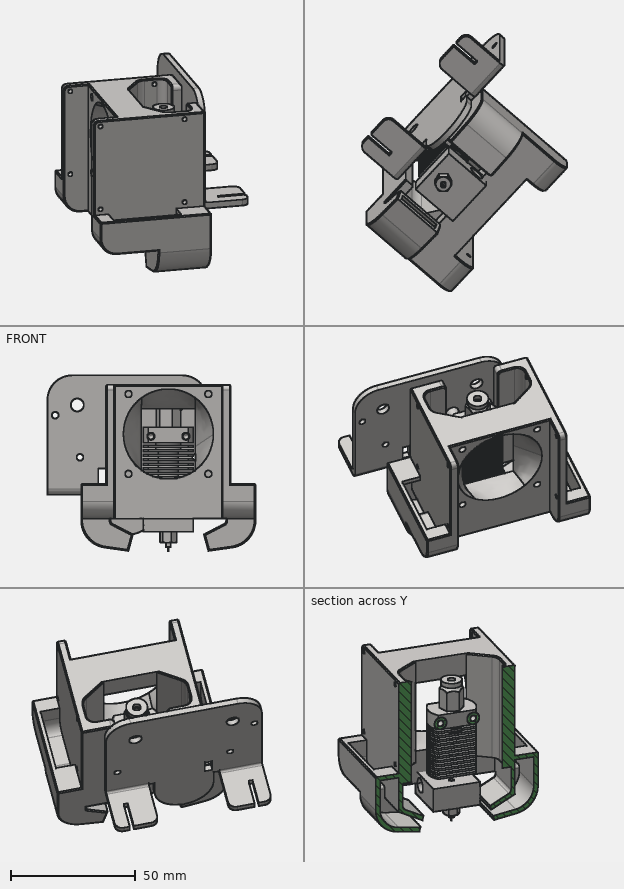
import cadquery as cq
import math


BODY_WIDTH = 50.0
BODY_HEIGHT = 53.6
SHROUD_DEPTH = 46.2
EDGE_CHAMFER = 0.5
WALL = 3.7
INNER_HALF = BODY_WIDTH / 2 - WALL
WING_WIDTH = 70.0
WING_HEIGHT = 13.95
FAN_FACE_Y = -36.0
FRONT_TOP_RADIUS = 2.0
FRONT_BOTTOM_RADIUS = 7.0

HOOK_DEPTH = 22.1
HOOK_RADIUS = 11.1
HOOK_ANGLE = math.radians(8)
HOOK_TIP_X = 16.0
HOOK_LIP = (14.2, -6.35)
HOOK_KNEE = (23.1, -1.75)
HOOK_KNEE_RADIUS = 1.7
HOOK_SKIN = 2.0
HOOK_CENTRE_X = WING_WIDTH / 2 - HOOK_RADIUS
HOOK_CENTRE_Z = -0.7

SEAT_BACK_Y = -12.0
SEAT_FRONT_Y = -40.2
SEAT_WIDTH = 7.85
SEAT_FLOOR_Z = 2.0
SEAT_FLOOR_RADIUS = FRONT_BOTTOM_RADIUS - SEAT_FLOOR_Z
DUCT_BACK_Y = -2.0
DUCT_FRONT_Y = -20.1
DUCT_TOP_Z = WING_HEIGHT - 2.0
DUCT_LEAD_IN = 1.1

CAVITY_BACK_Y = -4.2
CAVITY_FRONT_Y = -22.3
CAVITY_SIDE_END_Y = -12.9
CAVITY_BACK_RADIUS = 3.3
CAVITY_FLANK_RADIUS = 4.2
GAP_CORNER_RADIUS = 2.0
GAP_HALF = 10.85
CAVITY_STEP_Z = 9.1

FAN_CENTRE_Z = 33.9
FAN_OPENING = 36.1
FAN_SCREW_PITCH = 32.0
FAN_SCREW_HOLE = 2.75
FAN_SCREW_DEPTH = 8.0
THROAT_TOP_Z = 43.9
THROAT_BOTTOM_Z = 14.2

SIDE_HOLE = 1.75
SIDE_HOLE_YS = (-8.5, -43.4)
SIDE_HOLE_ZS = (16.3, 51.3)

HOTEND_Y = -10.5
BORE = 2.1
HEATSINK_DIAMETER = 20.0
HEATSINK_THICKNESS = 12.0
HEATSINK_TOP_Z = 36.65
HEATSINK_HEAD = 6.35
FIN_COUNT = 12
FIN_PITCH = 1.8
FIN_GAP = 0.9
CORE_UPPER = 10.0
CORE_LOWER = 8.0
UPPER_GAPS = 2
MOUNT_SPACING = 14.0
MOUNT_Z = 33.0
MOUNT_HOLE = 3.0

FITTING_CORNERS = 10.0
FITTING_TURN = -13.0
FITTING_HEIGHT = 10.0
FITTING_TOP_DIAMETER = 6.0
COLLET_DIAMETER = 8.6
COLLET_HEIGHT = 2.0
COLLET_HOLE = 3.1

BLOCK_WIDTH = 20.0
BLOCK_LENGTH = 20.0
BLOCK_HEIGHT = 10.0
BLOCK_FRONT_Y = -24.6
BLOCK_BOTTOM_Z = -5.35
HEATER_HOLE = 6.0
HEATER_Y = -19.45
HEATER_Z = 0.25

NOZZLE_FLATS = 6.0
NOZZLE_TURN = -10.0
NOZZLE_HEX_HEIGHT = 4.4
NOZZLE_TIP_DIAMETER = 2.1
NOZZLE_TIP_LENGTH = 1.7
NOZZLE_BORE_DEPTH = 3.75
NOZZLE_PIN_DIAMETER = 0.4
NOZZLE_PIN_LENGTH = 1.6

PLATE_LEFT_X = -48.5
PLATE_WIDTH = 64.05
PLATE_THICKNESS = 2.6
PLATE_TOP_Z = 57.45
PLATE_CORNER_RADIUS = 10.0
PLATE_CENTRE_X = PLATE_LEFT_X + PLATE_WIDTH / 2
TAB_BOTTOM_Z = 9.5
TAB_WIDTH = 17.45
TAB_END_Y = 21.0
TAB_CORNER_RADIUS = 3.0
TAB_SLOT_WIDTH = 1.7
TAB_SLOT_START_Y = 9.7
TAB_SLOT_XS = (-42.2, 9.1)
BEND_OUTER_RADIUS = 2.5
BEND_INNER_RADIUS = 0.9
TONGUE_RADIUS = 12.1
TONGUE_CENTRE_Z = 5.6
LARGE_HOLE = 5.1
LARGE_HOLE_SPACING = 40.0
LARGE_HOLE_Z = 45.5
SMALL_HOLE = 2.6
SMALL_HOLES = ((-45.3, 41.4), (-35.4, 24.55), (10.85, 24.55))
WINDOW_LEFT_X = -28.05
WINDOW_WIDTH = 3.0
WINDOW_TOP_Z = 20.0
WINDOW_HEIGHT = 6.0
STANDOFF_DIAMETER = 5.3
STANDOFF_TAP = 2.4
STANDOFF_TAP_DEPTH = 4.2
DRILL_POINT_DEPTH = 0.75


def box(x0, x1, y0, y1, z0, z1):
    """Box between two opposite corners."""
    return cq.Workplane("XY").box(x1 - x0, y1 - y0, z1 - z0, centered=False).translate((x0, y0, z0))


def front_plane(y):
    """Sketch plane facing -Y: local x is X, local y is Z, extrusion goes toward -Y."""
    return cq.Workplane("XZ", origin=(0, y, 0))


def side_plane(x):
    """Sketch plane facing +X: local x is Y, local y is Z, extrusion goes toward +X."""
    return cq.Workplane("YZ", origin=(x, 0, 0))


def both_sides(shape):
    """The shape together with its mirror image across X = 0."""
    return shape.union(shape.mirror("YZ"))


def hook_arc(radius, angle):
    """Point on a circle about the hook centre, with the angle measured down from +X."""
    return (HOOK_CENTRE_X + radius * math.cos(angle), HOOK_CENTRE_Z - radius * math.sin(angle))


def hook_underside(radius, x):
    """Point at x on the straight run that leaves the hook arc of this radius."""
    end_x, end_z = hook_arc(radius, math.pi / 2 - HOOK_ANGLE)
    return (x, end_z - (end_x - x) * math.tan(HOOK_ANGLE))


def make_hook():
    """Solid air nozzle below the right wing."""
    sweep = math.pi / 2 - HOOK_ANGLE
    hook = (
        front_plane(0)
        .moveTo(WING_WIDTH / 2, 0)
        .lineTo(*hook_arc(HOOK_RADIUS, 0))
        .threePointArc(hook_arc(HOOK_RADIUS, sweep / 2), hook_arc(HOOK_RADIUS, sweep))
        .lineTo(*hook_underside(HOOK_RADIUS, HOOK_TIP_X))
        .lineTo(*HOOK_LIP)
        .lineTo(*HOOK_KNEE)
        .lineTo(HOOK_KNEE[0], 0)
        .close()
        .extrude(HOOK_DEPTH)
    )
    knee_edge = cq.NearestToPointSelector((HOOK_KNEE[0], -HOOK_DEPTH / 2, HOOK_KNEE[1]))
    hook = hook.edges("|Y").edges(knee_edge).fillet(HOOK_KNEE_RADIUS)
    return hook.faces("<Y").edges("not >Z").chamfer(EDGE_CHAMFER)


def make_air_path():
    """Blower seat in the right wing and the duct that leads from it out of the hook tip."""
    inner_x = BODY_WIDTH / 2
    outer_x = inner_x + SEAT_WIDTH
    seat = box(inner_x, outer_x, SEAT_FRONT_Y, SEAT_BACK_Y, SEAT_FLOOR_Z, WING_HEIGHT)
    seat = seat.edges("|X and <Y and <Z").fillet(SEAT_FLOOR_RADIUS)
    sweep = math.pi / 2 - HOOK_ANGLE
    radius = outer_x - HOOK_CENTRE_X
    rise = (HOOK_KNEE[1] - HOOK_LIP[1]) / (HOOK_KNEE[0] - HOOK_LIP[0])
    exit_x = HOOK_LIP[0] - HOOK_SKIN
    ceiling_z = HOOK_LIP[1] - HOOK_SKIN * math.hypot(1, rise)
    duct = (
        front_plane(DUCT_BACK_Y)
        .moveTo(outer_x, DUCT_TOP_Z)
        .lineTo(*hook_arc(radius, 0))
        .threePointArc(hook_arc(radius, sweep / 2), hook_arc(radius, sweep))
        .lineTo(*hook_underside(radius, exit_x))
        .lineTo(exit_x, ceiling_z + (exit_x - HOOK_LIP[0]) * rise)
        .lineTo(inner_x, ceiling_z + (inner_x - HOOK_LIP[0]) * rise)
        .lineTo(inner_x, DUCT_TOP_Z)
        .close()
        .extrude(DUCT_BACK_Y - DUCT_FRONT_Y)
    )
    lead_in = box(
        inner_x, outer_x, DUCT_FRONT_Y - DUCT_LEAD_IN, DUCT_FRONT_Y,
        SEAT_FLOOR_Z - DUCT_LEAD_IN, SEAT_FLOOR_Z,
    )
    rounded_edge = (
        side_plane(inner_x)
        .center(DUCT_FRONT_Y - DUCT_LEAD_IN, SEAT_FLOOR_Z - DUCT_LEAD_IN)
        .circle(DUCT_LEAD_IN)
        .extrude(SEAT_WIDTH)
    )
    return seat.union(duct).union(lead_in.cut(rounded_edge))


def make_shroud_blank():
    """Box with side wings, fan recess and hooks, rounded and chamfered, before the openings."""
    half = BODY_WIDTH / 2
    wing = WING_WIDTH / 2
    blank = box(-half, half, -SHROUD_DEPTH, 0, 0, BODY_HEIGHT)
    blank = blank.union(box(-wing, wing, -SHROUD_DEPTH, 0, 0, WING_HEIGHT))
    blank = blank.cut(box(-INNER_HALF, INNER_HALF, -SHROUD_DEPTH, FAN_FACE_Y, 0, BODY_HEIGHT))
    blank = blank.faces("<Y").edges("<Z").fillet(FRONT_BOTTOM_RADIUS)
    blank = blank.faces("<Y").edges(">Z").fillet(FRONT_TOP_RADIUS)
    blank = blank.union(both_sides(make_hook()))
    sharp_edges = blank.faces("<Y or >Y").edges()
    sharp_edges = sharp_edges.add(
        blank.edges("|X").edges(cq.NearestToPointSelector((0, FAN_FACE_Y, BODY_HEIGHT)))
    )
    for side in (-1, 1):
        for x, z in ((side * half, BODY_HEIGHT), (side * wing, WING_HEIGHT)):
            top_edge = cq.NearestToPointSelector((x, -SHROUD_DEPTH / 2, z))
            sharp_edges = sharp_edges.add(blank.edges("|Y").edges(top_edge))
    blank = sharp_edges.chamfer(EDGE_CHAMFER)
    return blank


def make_cavity():
    """Space around the heatsink: rounded outline above, wider box below."""
    outline = (
        cq.Workplane("XY")
        .moveTo(-INNER_HALF, CAVITY_BACK_Y)
        .lineTo(INNER_HALF, CAVITY_BACK_Y)
        .lineTo(INNER_HALF, CAVITY_SIDE_END_Y - CAVITY_FLANK_RADIUS / 2)
        .lineTo(GAP_HALF, CAVITY_FRONT_Y)
        .lineTo(-GAP_HALF, CAVITY_FRONT_Y)
        .lineTo(-INNER_HALF, CAVITY_SIDE_END_Y - CAVITY_FLANK_RADIUS / 2)
        .close()
    )
    prism = outline.extrude(BODY_HEIGHT)
    prism = prism.edges("|Z and >Y").fillet(CAVITY_BACK_RADIUS)
    flanks = cq.selectors.BoxSelector(
        (-BODY_WIDTH, CAVITY_FRONT_Y + EDGE_CHAMFER, 0), (BODY_WIDTH, CAVITY_SIDE_END_Y, BODY_HEIGHT)
    )
    prism = prism.edges("|Z").edges(flanks).fillet(CAVITY_FLANK_RADIUS)
    wide_x = HOOK_KNEE[0]
    wide_part = box(-wide_x, wide_x, CAVITY_FRONT_Y, CAVITY_BACK_Y, 0, CAVITY_STEP_Z)
    return prism.union(wide_part)


def make_fan_inlet():
    """Passage that changes from the round fan opening to the rectangular throat."""
    throat_z = (THROAT_TOP_Z + THROAT_BOTTOM_Z) / 2
    return (
        cq.Workplane("XZ", origin=(0, FAN_FACE_Y, FAN_CENTRE_Z))
        .circle(FAN_OPENING / 2)
        .workplane(offset=FAN_FACE_Y - CAVITY_FRONT_Y)
        .center(0, throat_z - FAN_CENTRE_Z)
        .rect(2 * GAP_HALF, THROAT_TOP_Z - THROAT_BOTTOM_Z)
        .loft(ruled=True)
    )


def make_shroud():
    """Fan shroud with blower seats and air nozzles."""
    shroud = make_shroud_blank()
    shroud = shroud.cut(make_cavity())
    shroud = shroud.cut(box(-GAP_HALF, GAP_HALF, CAVITY_BACK_Y, 0, 0, BODY_HEIGHT))
    for x in (-GAP_HALF, GAP_HALF):
        gap_corner = cq.NearestToPointSelector((x, CAVITY_BACK_Y / 2, BODY_HEIGHT))
        shroud = shroud.edges("|Y").edges(gap_corner).fillet(GAP_CORNER_RADIUS)
    rim = cq.selectors.BoxSelector(
        (-INNER_HALF - EDGE_CHAMFER, CAVITY_FRONT_Y + EDGE_CHAMFER, BODY_HEIGHT - EDGE_CHAMFER),
        (INNER_HALF + EDGE_CHAMFER, CAVITY_BACK_Y + EDGE_CHAMFER, BODY_HEIGHT + EDGE_CHAMFER),
    )
    shroud = shroud.faces(">Z").edges(rim).chamfer(EDGE_CHAMFER)
    shroud = shroud.cut(make_fan_inlet())
    shroud = shroud.cut(both_sides(make_air_path()))
    fan_screws = (
        cq.Workplane("XZ", origin=(0, FAN_FACE_Y, FAN_CENTRE_Z))
        .rect(FAN_SCREW_PITCH, FAN_SCREW_PITCH, forConstruction=True)
        .vertices()
        .circle(FAN_SCREW_HOLE / 2)
        .extrude(-FAN_SCREW_DEPTH)
    )
    side_holes = (
        side_plane(-BODY_WIDTH / 2)
        .pushPoints([(y, z) for y in SIDE_HOLE_YS for z in SIDE_HOLE_ZS])
        .circle(SIDE_HOLE / 2)
        .extrude(BODY_WIDTH)
    )
    return shroud.cut(fan_screws).cut(side_holes)


def upright(diameter, z0, z1):
    """Vertical cylinder on the hot end axis."""
    return cq.Workplane("XY", origin=(0, HOTEND_Y, z0)).circle(diameter / 2).extrude(z1 - z0)


def hex_prism(corners, turn, z0, z1):
    """Vertical hexagonal prism on the hot end axis, turned about it."""
    prism = cq.Workplane("XY").polygon(6, corners).extrude(z1 - z0)
    return prism.rotate((0, 0, 0), (0, 0, 1), turn).translate((0, HOTEND_Y, z0))


HEATSINK_BOTTOM_Z = HEATSINK_TOP_Z - HEATSINK_HEAD - FIN_COUNT * FIN_PITCH


def make_heatsink():
    """Finned heatsink: round with flats at front and back."""
    flat = HEATSINK_THICKNESS / 2
    reach = HEATSINK_DIAMETER / 2
    sink = upright(HEATSINK_DIAMETER, HEATSINK_BOTTOM_Z, HEATSINK_TOP_Z)
    sink = sink.intersect(
        box(-reach, reach, HOTEND_Y - flat, HOTEND_Y + flat, HEATSINK_BOTTOM_Z, HEATSINK_TOP_Z)
    )
    for index in range(FIN_COUNT):
        gap_top = HEATSINK_TOP_Z - HEATSINK_HEAD - index * FIN_PITCH
        gap_bottom = gap_top - FIN_GAP
        core = CORE_UPPER if index < UPPER_GAPS else CORE_LOWER
        ring = upright(2 * HEATSINK_DIAMETER, gap_bottom, gap_top).cut(upright(core, gap_bottom, gap_top))
        sink = sink.cut(ring)
    mount_holes = (
        front_plane(HOTEND_Y + flat)
        .pushPoints([(-MOUNT_SPACING / 2, MOUNT_Z), (MOUNT_SPACING / 2, MOUNT_Z)])
        .circle(MOUNT_HOLE / 2)
        .extrude(HEATSINK_THICKNESS)
    )
    return sink.cut(mount_holes).cut(upright(BORE, HEATSINK_BOTTOM_Z, HEATSINK_TOP_Z))


FITTING_TOP_Z = HEATSINK_TOP_Z + FITTING_HEIGHT


def make_fitting():
    """Hexagonal tube fitting with bevelled top corners."""
    bevel = (FITTING_CORNERS - FITTING_TOP_DIAMETER) / 2
    bevel_cone = upright(FITTING_CORNERS, HEATSINK_TOP_Z, FITTING_TOP_Z)
    bevel_cone = bevel_cone.faces(">Z").chamfer(bevel)
    fitting = hex_prism(FITTING_CORNERS, FITTING_TURN, HEATSINK_TOP_Z, FITTING_TOP_Z)
    return fitting.intersect(bevel_cone).cut(upright(BORE, HEATSINK_TOP_Z, FITTING_TOP_Z))


def make_collet():
    """Release ring on top of the fitting."""
    top_z = FITTING_TOP_Z + COLLET_HEIGHT
    return upright(COLLET_DIAMETER, FITTING_TOP_Z, top_z).cut(upright(COLLET_HOLE, FITTING_TOP_Z, top_z))


def make_heater_block():
    """Heater block with a cross hole for the cartridge."""
    half = BLOCK_WIDTH / 2
    top_z = BLOCK_BOTTOM_Z + BLOCK_HEIGHT
    block = box(-half, half, BLOCK_FRONT_Y, BLOCK_FRONT_Y + BLOCK_LENGTH, BLOCK_BOTTOM_Z, top_z)
    heater = side_plane(-half).center(HEATER_Y, HEATER_Z).circle(HEATER_HOLE / 2).extrude(BLOCK_WIDTH)
    return block.cut(heater).cut(upright(BORE, BLOCK_BOTTOM_Z, top_z))


def make_nozzle():
    """Hexagonal nozzle with bevelled corners, a round tip and a hair-thin end pin."""
    corners = NOZZLE_FLATS / math.cos(math.pi / 6)
    bevel = (corners - NOZZLE_FLATS) / 2
    hex_bottom = BLOCK_BOTTOM_Z - NOZZLE_HEX_HEIGHT
    tip_bottom = hex_bottom - NOZZLE_TIP_LENGTH
    bevel_cone = upright(corners, hex_bottom, BLOCK_BOTTOM_Z).faces("<Z").chamfer(bevel)
    nozzle = hex_prism(corners, NOZZLE_TURN, hex_bottom, BLOCK_BOTTOM_Z).intersect(bevel_cone)
    nozzle = nozzle.union(upright(NOZZLE_TIP_DIAMETER, tip_bottom, hex_bottom))
    nozzle = nozzle.union(upright(NOZZLE_PIN_DIAMETER, tip_bottom - NOZZLE_PIN_LENGTH, tip_bottom))
    bore = upright(BORE, BLOCK_BOTTOM_Z - NOZZLE_BORE_DEPTH, BLOCK_BOTTOM_Z)
    orifice = upright(NOZZLE_PIN_DIAMETER, hex_bottom - NOZZLE_TIP_LENGTH / 2, BLOCK_BOTTOM_Z)
    return nozzle.cut(bore).cut(orifice)


def make_tab(left_x, slot_x):
    """Bent tab behind the plate, slotted from its free end."""
    tab = box(left_x, left_x + TAB_WIDTH, 0, TAB_END_Y, TAB_BOTTOM_Z, TAB_BOTTOM_Z + PLATE_THICKNESS)
    tab = tab.edges("|Z and >Y").fillet(TAB_CORNER_RADIUS)
    tab = tab.cut(
        box(slot_x - TAB_SLOT_WIDTH / 2, slot_x + TAB_SLOT_WIDTH / 2, TAB_SLOT_START_Y, TAB_END_Y,
            TAB_BOTTOM_Z, TAB_BOTTOM_Z + PLATE_THICKNESS)
    )
    leg_top = TAB_BOTTOM_Z + 2 * PLATE_THICKNESS
    tab = tab.union(box(left_x, left_x + TAB_WIDTH, 0, PLATE_THICKNESS, TAB_BOTTOM_Z, leg_top))
    tab = tab.edges("|X and <Y and <Z").fillet(BEND_OUTER_RADIUS)
    inner_bend = cq.NearestToPointSelector(
        (left_x + TAB_WIDTH / 2, PLATE_THICKNESS, TAB_BOTTOM_Z + PLATE_THICKNESS)
    )
    return tab.edges("|X").edges(inner_bend).fillet(BEND_INNER_RADIUS)


def make_standoff(x):
    """Standoff in front of the plate with a blind tapped hole ending in a drill point."""
    end_y = HOTEND_Y + HEATSINK_THICKNESS / 2
    post = front_plane(0).center(x, MOUNT_Z).circle(STANDOFF_DIAMETER / 2).extrude(-end_y)
    drill = (
        cq.Workplane("XY")
        .moveTo(0, end_y)
        .lineTo(STANDOFF_TAP / 2, end_y)
        .lineTo(STANDOFF_TAP / 2, end_y + STANDOFF_TAP_DEPTH)
        .lineTo(0, end_y + STANDOFF_TAP_DEPTH + DRILL_POINT_DEPTH)
        .close()
        .revolve(360, (0, 0, 0), (0, 1, 0))
        .translate((x, 0, MOUNT_Z))
    )
    return post, drill


def make_bracket():
    """Sheet metal bracket: plate, two bent tabs, rounded tongue and two standoffs."""
    right_x = PLATE_LEFT_X + PLATE_WIDTH
    bracket = box(PLATE_LEFT_X, right_x, 0, PLATE_THICKNESS, TAB_BOTTOM_Z + PLATE_THICKNESS, PLATE_TOP_Z)
    bracket = bracket.edges("|Y and >Z").fillet(PLATE_CORNER_RADIUS)
    tongue = (
        front_plane(PLATE_THICKNESS)
        .moveTo(PLATE_CENTRE_X - TONGUE_RADIUS, WINDOW_TOP_Z)
        .lineTo(PLATE_CENTRE_X - TONGUE_RADIUS, TONGUE_CENTRE_Z)
        .threePointArc((PLATE_CENTRE_X, TONGUE_CENTRE_Z - TONGUE_RADIUS),
                       (PLATE_CENTRE_X + TONGUE_RADIUS, TONGUE_CENTRE_Z))
        .lineTo(PLATE_CENTRE_X + TONGUE_RADIUS, WINDOW_TOP_Z)
        .close()
        .extrude(PLATE_THICKNESS)
    )
    bracket = bracket.union(tongue)
    for left_x, slot_x in zip((PLATE_LEFT_X, right_x - TAB_WIDTH), TAB_SLOT_XS):
        bracket = bracket.union(make_tab(left_x, slot_x))
    large_xs = (PLATE_CENTRE_X - LARGE_HOLE_SPACING / 2, PLATE_CENTRE_X + LARGE_HOLE_SPACING / 2)
    large_holes = front_plane(PLATE_THICKNESS).pushPoints([(x, LARGE_HOLE_Z) for x in large_xs])
    bracket = bracket.cut(large_holes.circle(LARGE_HOLE / 2).extrude(PLATE_THICKNESS))
    small_holes = front_plane(PLATE_THICKNESS).pushPoints(SMALL_HOLES)
    bracket = bracket.cut(small_holes.circle(SMALL_HOLE / 2).extrude(PLATE_THICKNESS))
    bracket = bracket.cut(
        box(WINDOW_LEFT_X, WINDOW_LEFT_X + WINDOW_WIDTH, 0, PLATE_THICKNESS,
            WINDOW_TOP_Z - WINDOW_HEIGHT, WINDOW_TOP_Z)
    )
    for x in (-MOUNT_SPACING / 2, MOUNT_SPACING / 2):
        post, drill = make_standoff(x)
        bracket = bracket.union(post).cut(drill)
    return bracket


bracket = make_bracket()
shroud = make_shroud()
heatsink = make_heatsink()
fitting = make_fitting()
collet = make_collet()
heater_block = make_heater_block()
nozzle = make_nozzle()

result = cq.Compound.makeCompound([
    bracket.val(),
    shroud.val(),
    heatsink.val(),
    fitting.val(),
    collet.val(),
    heater_block.val(),
    nozzle.val(),
])